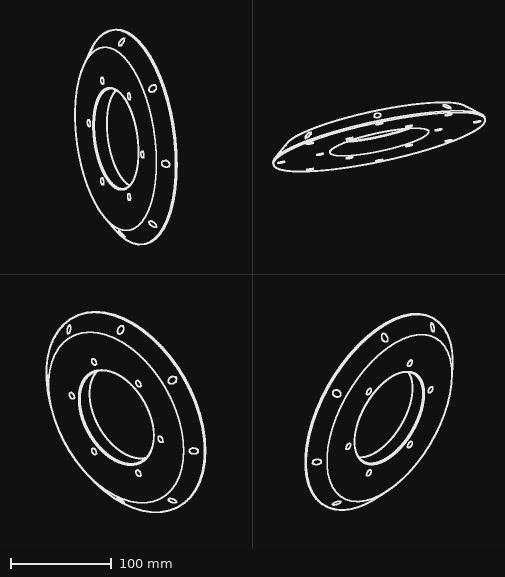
import cadquery as cq

outer_diameter = 214.6
front_face_diameter = 183.0
thickness = 15.0
rim_width = 1.7

bore_diameter = 100.0
bore_chamfer = 1.0

hole_diameter = 6.7
inner_hole_count = 6
inner_hole_circle_radius = 60.0
outer_hole_count = 8
outer_hole_circle_radius = 99.1

outer_radius = outer_diameter / 2
front_face_radius = front_face_diameter / 2
bore_radius = bore_diameter / 2
front_y = -thickness / 2
back_y = thickness / 2


def make_ring():
    """Revolve the half section (radius along X) around the Y axis."""
    return (
        cq.Workplane("XY")
        .moveTo(bore_radius, back_y)
        .lineTo(outer_radius, back_y)
        .lineTo(outer_radius, back_y - rim_width)
        .lineTo(front_face_radius, front_y)
        .lineTo(bore_radius + bore_chamfer, front_y)
        .lineTo(bore_radius, front_y + bore_chamfer)
        .close()
        .revolve(360, (0, 0, 0), (0, 1, 0))
    )


def make_hole_circle(circle_radius, count):
    """Evenly spaced cylinders through the thickness, the first one on +X."""
    return (
        cq.Workplane("XZ", origin=(0, back_y, 0))
        .polarArray(circle_radius, 0, 360, count)
        .circle(hole_diameter / 2)
        .extrude(thickness)
    )


inner_holes = make_hole_circle(inner_hole_circle_radius, inner_hole_count)
outer_holes = make_hole_circle(outer_hole_circle_radius, outer_hole_count)
result = make_ring().cut(inner_holes).cut(outer_holes)